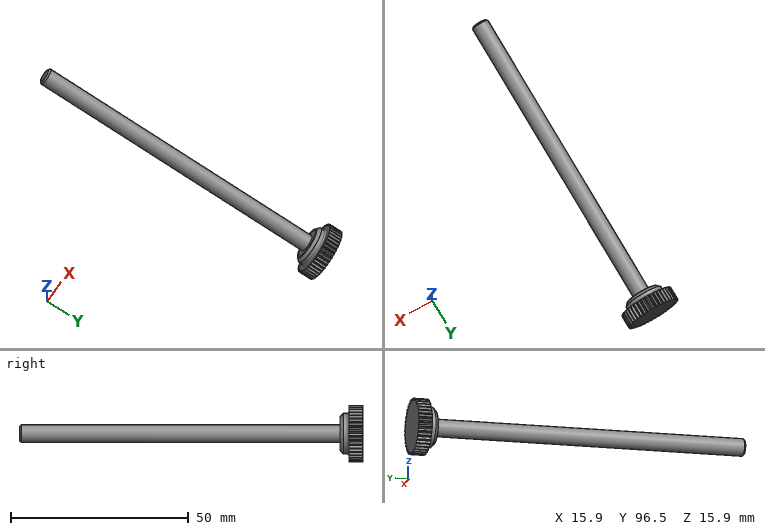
import cadquery as cq

total_length = 96.5
rim_thickness = 4.0
collar_length = 2.5
back_y = total_length / 2
tip_y = back_y - total_length
rim_front_y = back_y - rim_thickness
seat_y = rim_front_y - collar_length

rim_radius = 15.9 / 2
collar_radius = 11.5 / 2
collar_root_fillet = 0.5
collar_chamfer = 1.0

notch_count = 40
notch_depth = 0.5

shank_radius = 2.5
tip_chamfer = 0.5
head_radius = 4.2
head_height = 5.0


def rod(radius, start_y, length):
    """Cylinder about the Y axis that starts at start_y and runs toward -Y."""
    return cq.Workplane("XZ", origin=(0, start_y, 0)).circle(radius).extrude(length)


def make_head():
    """The screw head, also used to cut its matching recess in the knob."""
    return rod(head_radius, seat_y + head_height, head_height)


def make_knob_blank():
    """Turned shape of the knob: half of its section, revolved about the Y axis."""
    return (
        cq.Workplane("XY")
        .moveTo(0, back_y)
        .lineTo(rim_radius, back_y)
        .lineTo(rim_radius, rim_front_y)
        .lineTo(collar_radius + collar_root_fillet, rim_front_y)
        .radiusArc((collar_radius, rim_front_y - collar_root_fillet), -collar_root_fillet)
        .lineTo(collar_radius, seat_y + collar_chamfer)
        .lineTo(collar_radius - collar_chamfer, seat_y)
        .lineTo(0, seat_y)
        .close()
        .revolve(360, (0, 0, 0), (0, 1, 0))
    )


def make_knurl_notches():
    """Square bars centred on the rim surface, corner inward, which cut the V notches."""
    return (
        cq.Workplane("XZ", origin=(0, back_y, 0))
        .polarArray(rim_radius, 0, 360, notch_count)
        .polygon(4, 2 * notch_depth)
        .extrude(rim_thickness)
    )


def make_knob():
    return make_knob_blank().cut(make_knurl_notches()).cut(make_head())


def make_screw():
    shank = rod(shank_radius, seat_y, seat_y - tip_y).faces("<Y").chamfer(tip_chamfer)
    return make_head().union(shank)


knob = make_knob()
screw = make_screw()
result = cq.Compound.makeCompound([knob.val(), screw.val()])